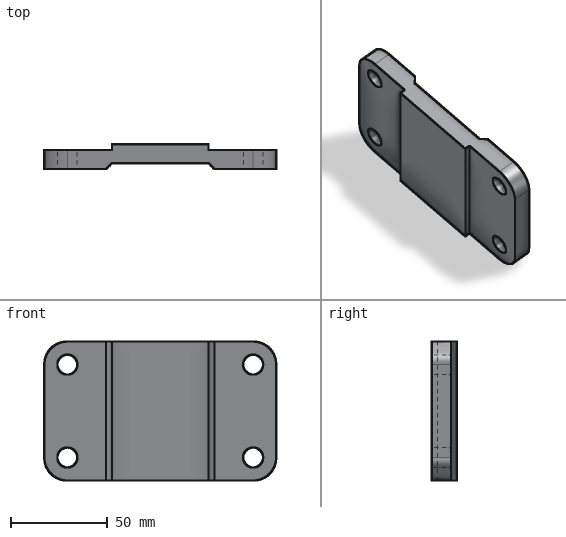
import cadquery as cq

length = 120.0
height = 72.0
plate_thickness = 10.0
corner_radius = 12.0

band_offset = 3.0
band_width = 50.0
recess_mouth_width = band_width + 2 * band_offset

hole_diameter = 10.2
hole_spacing_x = length - 2 * corner_radius
hole_spacing_z = height - 2 * corner_radius

total_depth = plate_thickness + band_offset
front_y = -total_depth / 2
plate_back_y = front_y + plate_thickness


def block(width, y_start, y_end):
    """Full-height block centred in X and Z, between two Y positions."""
    return cq.Workplane("XY").box(width, y_end - y_start, height).translate((0, (y_start + y_end) / 2, 0))


def recess():
    """Full-height trapezoidal channel cut into the front face."""
    floor_y = front_y + band_offset
    return (
        cq.Workplane("XY")
        .workplane(offset=-height / 2)
        .polyline([
            (-recess_mouth_width / 2, front_y),
            (recess_mouth_width / 2, front_y),
            (band_width / 2, floor_y),
            (-band_width / 2, floor_y),
        ])
        .close()
        .extrude(height)
    )


def mounting_holes():
    """Four through holes along Y."""
    return (
        cq.Workplane("XZ")
        .rect(hole_spacing_x, hole_spacing_z, forConstruction=True)
        .vertices()
        .circle(hole_diameter / 2)
        .extrude(total_depth, both=True)
    )


plate = block(length, front_y, plate_back_y).edges("|Y").fillet(corner_radius)
pad = block(band_width, plate_back_y, plate_back_y + band_offset)
result = plate.union(pad).cut(recess()).cut(mounting_holes())